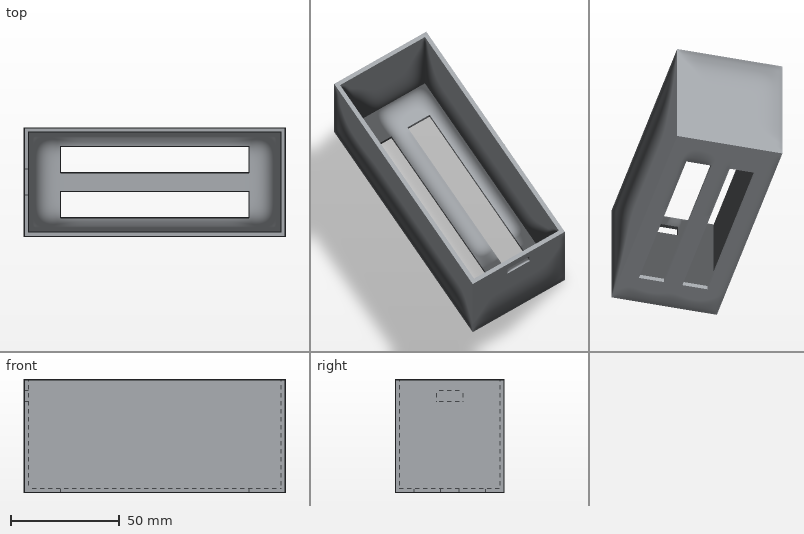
import cadquery as cq

LENGTH = 120.0
WIDTH = 50.0
HEIGHT = 52.0
WALL = 2.0
FLOOR = 2.0

SLOT_LENGTH = 86.6
SLOT_WIDTH = 12.0
SLOT_SPACING = 20.65

WINDOW_WIDTH = 12.0
WINDOW_HEIGHT = 5.0
WINDOW_TOP_GAP = 5.0


def open_box():
    """Box with its base on Z = 0, hollowed from above."""
    outer = cq.Workplane("XY").box(LENGTH, WIDTH, HEIGHT, centered=(True, True, False))
    cavity = (
        cq.Workplane("XY")
        .workplane(offset=FLOOR)
        .rect(LENGTH - 2 * WALL, WIDTH - 2 * WALL)
        .extrude(HEIGHT - FLOOR)
    )
    return outer.cut(cavity)


def floor_slots():
    """Pair of slots, one on each side of the long centre line."""
    return (
        cq.Workplane("XY")
        .rarray(1, SLOT_SPACING, 1, 2)
        .rect(SLOT_LENGTH, SLOT_WIDTH)
        .extrude(FLOOR)
    )


def end_window():
    """Rectangular opening near the rim of the -X end wall."""
    centre_x = -LENGTH / 2 + WALL / 2
    centre_z = HEIGHT - WINDOW_TOP_GAP - WINDOW_HEIGHT / 2
    return (
        cq.Workplane("XY")
        .box(WALL, WINDOW_WIDTH, WINDOW_HEIGHT)
        .translate((centre_x, 0, centre_z))
    )


result = open_box().cut(floor_slots()).cut(end_window())